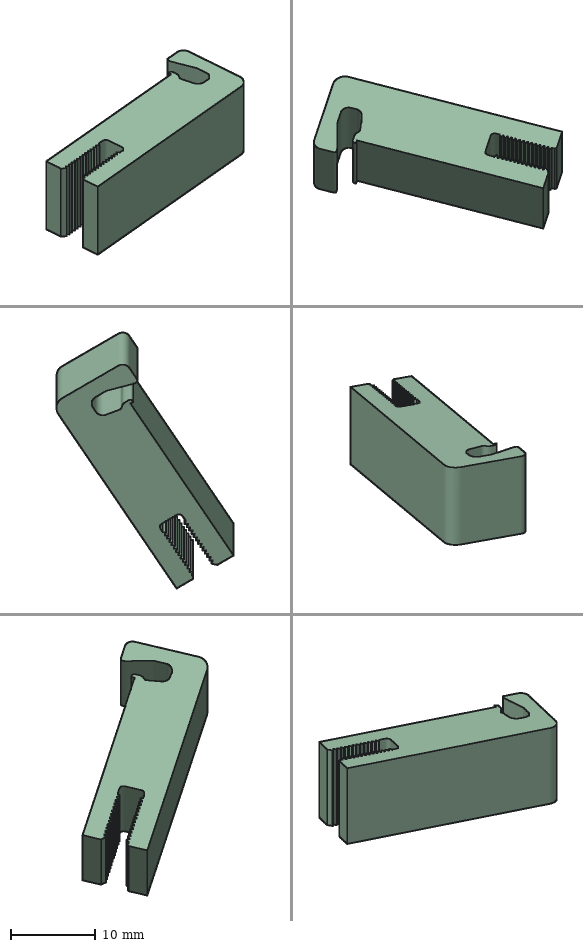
import cadquery as cq
import math

LENGTH = 28.0
THICKNESS = 10.0
OVERALL_WIDTH = 10.33
SHANK_WIDTH = 8.0
HOOK_OVERHANG = OVERALL_WIDTH - SHANK_WIDTH

HOOK_OUTER_RADIUS = 0.95
SHOULDER_RADIUS = 1.5
HOOK_THICKNESS = 2.0
TIP_DROP = 2.97
TIP_RADIUS = 0.25
TIP_FLAT_WIDTH = 0.55
RAMP_ANGLE = math.radians(16.5)
RAMP_BLEND_RADIUS = 0.85

MOUTH_DEPTH = 4.05
MOUTH_CORNER_RADIUS = 1.0
FLOOR_ANGLE = math.radians(10)
FLOOR_END_Y = 23.58

LIP_OVERHANG = 0.42
LIP_BASE_Y = 23.1
LIP_HEIGHT = 0.48
LIP_NOSE_RADIUS = 0.35
LIP_EDGE_RADIUS = 0.08
LIP_CREST_X = 0.8
LIP_CREST_RADIUS = 0.85
VALLEY_RADIUS = 0.5

SLOT_WIDTH = 3.08
SLOT_DEPTH = 8.0
SLOT_CORNER_RADIUS = 0.5
SLOT_CHAMFER = 0.17
THREAD_PITCH = 0.5
THREAD_DEPTH = 0.3
THREAD_HALF_ANGLE = math.radians(30)
TEETH_PER_SIDE = 13
FIRST_TOOTH_Y = 0.5


def sharp(points):
    """Corners without rounding, as (x, y, radius)."""
    return [(x, y, 0) for x, y in points]


def tooth(wall_x, tip_x, center_y):
    """One flat-topped thread tooth, listed upwards from its lower root."""
    flank_rise = THREAD_DEPTH * math.tan(THREAD_HALF_ANGLE)
    half_tip = (THREAD_PITCH / 2 - flank_rise) / 2
    half_root = half_tip + flank_rise
    return [
        (wall_x, center_y - half_root),
        (tip_x, center_y - half_tip),
        (tip_x, center_y + half_tip),
        (wall_x, center_y + half_root),
    ]


def hook_corners():
    """Hook, mouth and lip, from the right shoulder round to the lip base."""
    tip_y = LENGTH - TIP_DROP
    ceiling_y = LENGTH - HOOK_THICKNESS
    ramp_start_x = -HOOK_OVERHANG + TIP_FLAT_WIDTH
    ramp_end_x = ramp_start_x + (ceiling_y - tip_y) / math.tan(RAMP_ANGLE)

    crest_y = LIP_BASE_Y + LIP_HEIGHT
    floor_slope = math.tan(FLOOR_ANGLE)
    floor_y_at_crest = FLOOR_END_Y - (MOUTH_DEPTH - LIP_CREST_X) * floor_slope
    flank_drop = (crest_y - floor_y_at_crest) / (1 + floor_slope)

    return [
        (SHANK_WIDTH, LENGTH, SHOULDER_RADIUS),
        (-HOOK_OVERHANG, LENGTH, HOOK_OUTER_RADIUS),
        (-HOOK_OVERHANG, tip_y, TIP_RADIUS),
        (ramp_start_x, tip_y, RAMP_BLEND_RADIUS),
        (ramp_end_x, ceiling_y, RAMP_BLEND_RADIUS),
        (MOUTH_DEPTH, ceiling_y, MOUTH_CORNER_RADIUS),
        (MOUTH_DEPTH, FLOOR_END_Y, MOUTH_CORNER_RADIUS),
        (LIP_CREST_X + flank_drop, crest_y - flank_drop, VALLEY_RADIUS),
        (LIP_CREST_X, crest_y, LIP_CREST_RADIUS),
        (-LIP_OVERHANG, crest_y, LIP_NOSE_RADIUS),
        (-LIP_OVERHANG, LIP_BASE_Y, LIP_EDGE_RADIUS),
        (0, LIP_BASE_Y, 0),
    ]


def slot_corners():
    """Threaded slot, up its left wall and down its right wall."""
    left_x = (SHANK_WIDTH - SLOT_WIDTH) / 2
    right_x = left_x + SLOT_WIDTH
    left_tip_x = left_x + THREAD_DEPTH
    right_tip_x = right_x - THREAD_DEPTH

    left_teeth = []
    right_teeth = []
    for index in range(TEETH_PER_SIDE):
        center_y = FIRST_TOOTH_Y + index * THREAD_PITCH
        left_teeth += tooth(left_x, left_tip_x, center_y)
        right_teeth += tooth(right_x, right_tip_x, center_y + THREAD_PITCH / 2)

    chamfer_on_tooth = (left_tip_x, SLOT_CHAMFER + THREAD_DEPTH)
    left_side = [(left_x - SLOT_CHAMFER, 0), chamfer_on_tooth] + left_teeth[2:]
    right_side = right_teeth[::-1] + [(right_x, SLOT_CHAMFER), (right_x + SLOT_CHAMFER, 0)]
    slot_end = [
        (left_x, SLOT_DEPTH, SLOT_CORNER_RADIUS),
        (right_x, SLOT_DEPTH, SLOT_CORNER_RADIUS),
    ]
    return sharp(left_side) + slot_end + sharp(right_side)


def rounded_outline(corners):
    """Closed wire through the corners, each rounded by a tangent arc of its radius."""
    sketch = None
    for index, (x, y, radius) in enumerate(corners):
        corner = cq.Vector(x, y)
        before = cq.Vector(*corners[index - 1][:2])
        after = cq.Vector(*corners[(index + 1) % len(corners)][:2])
        to_before = (before - corner).normalized()
        to_after = (after - corner).normalized()
        half_angle = to_before.getAngle(to_after) / 2
        setback = radius / math.tan(half_angle) if radius else 0
        arc_start = corner + to_before * setback
        if sketch is None:
            sketch = cq.Workplane("XY").moveTo(arc_start.x, arc_start.y)
        else:
            sketch = sketch.lineTo(arc_start.x, arc_start.y)
        if radius:
            bisector = (to_before + to_after).normalized()
            arc_middle = corner + bisector * (radius / math.sin(half_angle) - radius)
            arc_end = corner + to_after * setback
            sketch = sketch.threePointArc((arc_middle.x, arc_middle.y), (arc_end.x, arc_end.y))
    return sketch.close()


profile = sharp([(0, 0)]) + slot_corners() + sharp([(SHANK_WIDTH, 0)]) + hook_corners()
result = rounded_outline(profile).extrude(THICKNESS)